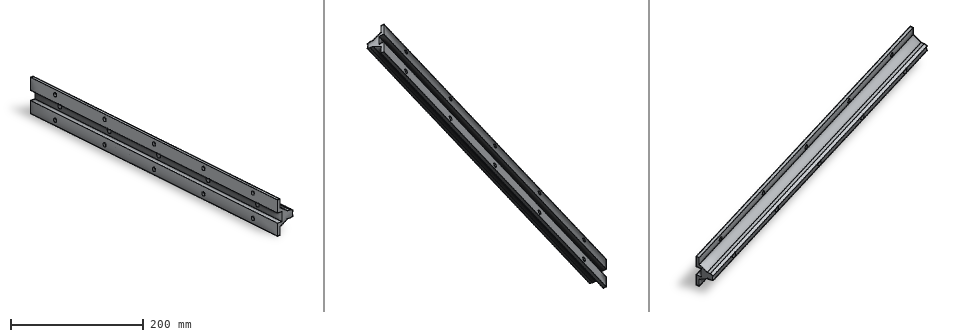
import cadquery as cq

length = 599.5
depth = 30.5
height = 60.0

flange_thickness = 5.5
channel_depth = 9.0
channel_half_width = 8.5

web_root_half_width = 15.5
neck_start_y = 20.0
neck_end_y = 25.0
neck_half_width = 6.5
cradle_half_width = 5.0
cradle_sag = 1.0

hole_count = 5
hole_pitch = length / hole_count
flange_hole_diameter = 6.5
flange_hole_z = 21.0
center_hole_diameter = 9.0


def rail_body():
    """Constant cross-section, symmetric about Z = 0, extruded along X."""
    upper_side = [
        (channel_depth, channel_half_width),
        (0, channel_half_width),
        (0, height / 2),
        (flange_thickness, height / 2),
        (flange_thickness, web_root_half_width),
        (neck_start_y, neck_half_width),
        (neck_end_y, neck_half_width),
        (depth, cradle_half_width),
    ]
    lower_side = [(y, -z) for y, z in reversed(upper_side)]
    cradle_bottom = (depth - cradle_sag, 0)
    return (
        cq.Workplane("YZ")
        .polyline(upper_side)
        .threePointArc(cradle_bottom, lower_side[0])
        .polyline(lower_side[1:], includeCurrent=True)
        .close()
        .extrude(length)
    )


def hole_row(z, diameter):
    """Evenly spaced row of through holes along the rail."""
    centers = [((i + 0.5) * hole_pitch, z) for i in range(hole_count)]
    return (
        cq.Workplane("XZ")
        .pushPoints(centers)
        .circle(diameter / 2)
        .extrude(-depth)
    )


result = rail_body()
result = result.cut(hole_row(0, center_hole_diameter))
for side in (-1, 1):
    result = result.cut(hole_row(side * flange_hole_z, flange_hole_diameter))